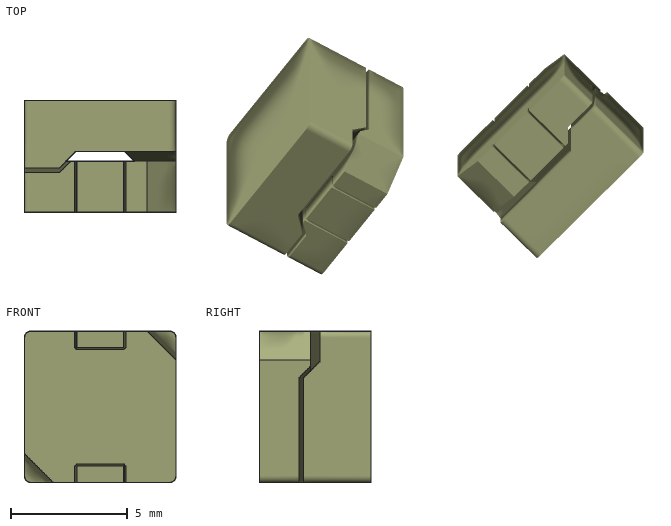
import cadquery as cq

side = 6.5
depth = 4.8
half = side / 2
corner_radius = 0.28
corner_chamfer = 1.24

front_low = 1.7
front_high = 2.2
rear_low = 1.9
rear_high = 2.6

step_width = 1.5
step_height = 4.5
overhang = 1.3

notch_width = 2.22
notch_depth = 0.79
notch_corner = 0.105
terminal_width = 2.0
terminal_depth = 0.715


def block(width, height, y_start, y_end, z_center=0.0):
    """Box centred on X, spanning y_start to y_end."""
    length = y_end - y_start
    return cq.Workplane("XY").box(width, length, height).translate((0, y_start + length / 2, z_center))


def half_turn(body):
    """Copy of a body turned 180 degrees about the Y axis."""
    return body.rotate((0, 0, 0), (0, 1, 0), 180)


def corner_step(y_low, y_high):
    """Block at the -X +Z corner whose two inner sides widen at 45 degrees toward +Y."""
    rise = y_high - y_low

    def footprint(y, growth):
        left = -half - overhang
        right = -half + step_width + growth
        bottom = half - step_height - growth
        top = half + overhang
        corners = [(left, bottom), (right, bottom), (right, top), (left, top)]
        return cq.Wire.makePolygon([cq.Vector(x, y, z) for x, z in corners], close=True)

    return cq.Workplane(cq.Solid.makeLoft([footprint(y_low, 0), footprint(y_high, rise)], True))


def make_notch():
    """Cutter for the +Z terminal notch, with bevelled floor corners, open at the top."""
    height = notch_depth + overhang
    z_center = half - notch_depth + height / 2
    cutter = block(notch_width, height, 0, front_high, z_center)
    return cutter.faces("<Z").edges("|Y").chamfer(notch_corner)


def make_front_core():
    bevel_start = half - corner_chamfer
    outline = [
        (-half, half),
        (bevel_start, half),
        (half, bevel_start),
        (half, -half),
        (-bevel_start, -half),
        (-half, -bevel_start),
    ]
    core = cq.Workplane("XZ").polyline(outline).close().extrude(-front_high)
    for x, z in [(-half, half), (half, -half)]:
        corner = cq.selectors.NearestToPointSelector((x, front_high / 2, z))
        core = core.edges(corner).fillet(corner_radius)
    for cutter in [corner_step(front_low, front_high), make_notch()]:
        core = core.cut(cutter).cut(half_turn(cutter))
    return core


def make_rear_core():
    core = block(side, side, rear_high, depth)
    step = corner_step(rear_low, rear_high)
    outline = block(side, side, 0, depth).edges("|Y").fillet(corner_radius)
    return core.union(step).union(half_turn(step)).intersect(outline)


def make_terminal():
    return block(terminal_width, terminal_depth, 0, front_high, half - terminal_depth / 2)


front_core = make_front_core()
rear_core = make_rear_core()
top_terminal = make_terminal()
terminals = [top_terminal, half_turn(top_terminal)]

result = cq.Compound.makeCompound(
    [front_core.val(), rear_core.val(), *[terminal.val() for terminal in terminals]]
)